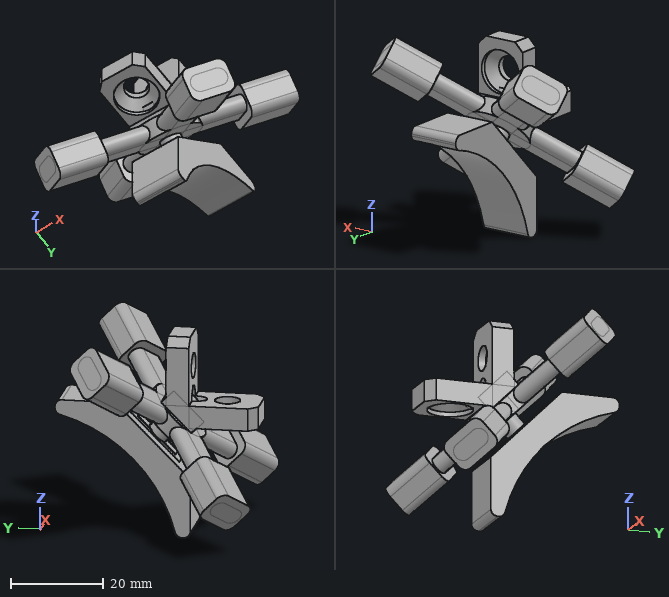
import cadquery as cq
import math

TILT_ANGLE = 45
ROOT_2 = math.sqrt(2)

OVERALL_WIDTH = 50.2
HUB_DIAMETER = 15.05
ARM_COUNT = 4
ARM_WIDTH = 9.0
ARM_THICKNESS = 4
GRIP_LENGTH = 12.0
GRIP_WIDTH = 11.0
GRIP_THICKNESS = 8.0
GRIP_EDGE_RADIUS = 2
ARM_REACH = OVERALL_WIDTH / ROOT_2 - GRIP_WIDTH / 2

BRACKET_WIDTH = 12.0
LEG_LENGTH = 15.0
LEG_THICKNESS = 5
LEG_CHAMFER = 2
LEG_HOLE_DIAMETER = 5.5
SCREW_HEAD_DIAMETER = 10.0
SCREW_HEAD_DEPTH = 1.05
FOOT_LENGTH = 9.45
FOOT_HEIGHT = 3.9
CORNER_BORE_DIAMETER = 4.2
CORNER_BORE_DEPTH = 0.2
CORNER_HEIGHT = ARM_THICKNESS / 2 + FOOT_HEIGHT
CORNER_OFFSET = CORNER_HEIGHT / ROOT_2

PAD_WIDTH = BRACKET_WIDTH
PAD_SIDE = 29.85
PAD_BEVEL = 16.5
PAD_BACK_RADIUS = 35.6
PAD_BACK_CENTRE_OFFSET = 37.8
PAD_TIP_RADIUS = 1.5
PAD_SHIFT = 0.35
PAD_APEX_Y = -CORNER_OFFSET - PAD_SHIFT
PAD_APEX_Z = CORNER_OFFSET

ROD_DIAMETER = 5
BASE_WIDTH = 5.95
BASE_LENGTH = 15.05
BASE_DEPTH = 2
RIB_WIDTH = 3
RIB_LENGTH = 11.8
RIB_HEIGHT = 0.1
PIN_SHIFT = -PAD_SHIFT / ROOT_2
PAD_FACE_HEIGHT = (PAD_APEX_Z - PAD_APEX_Y - PAD_BEVEL) / ROOT_2


def tilted(body):
    """Turn an upright body so that its Z axis lies along the clamping axis."""
    return body.rotate((0, 0, 0), (1, 0, 0), TILT_ANGLE)


def slab(width, length, bottom, height, y=0):
    """An upright rectangular block, centred on X = 0 and on the given Y."""
    return (
        cq.Workplane("XY", origin=(0, y, bottom))
        .box(width, length, height, centered=(True, True, False))
    )


def make_arm():
    """An arm along +X with round sides, and the grip around its outer end."""
    arm = cq.Workplane("YZ").slot2D(ARM_WIDTH, ARM_THICKNESS).extrude(ARM_REACH)
    grip = (
        cq.Workplane("YZ", origin=(ARM_REACH - GRIP_LENGTH, 0, 0))
        .rect(GRIP_WIDTH, GRIP_THICKNESS)
        .extrude(GRIP_LENGTH)
        .edges("|X")
        .fillet(GRIP_EDGE_RADIUS)
    )
    return arm.union(grip, clean=False)


def make_spider():
    """The hub disc with equally spaced arms, the first one halfway between X and Y."""
    spider = cq.Workplane("XY").cylinder(ARM_THICKNESS, HUB_DIAMETER / 2)
    for index in range(ARM_COUNT):
        angle = (index + 0.5) * 360 / ARM_COUNT
        spider = spider.union(make_arm().rotate((0, 0, 0), (0, 0, 1), angle), clean=False)
    return tilted(spider)


def make_screw_hole():
    """A hole through a leg, along +Y, that flares at 45 degrees to a wide mouth at its far end."""
    hole_radius = LEG_HOLE_DIAMETER / 2
    head_radius = SCREW_HEAD_DIAMETER / 2
    flare_end = LEG_THICKNESS - SCREW_HEAD_DEPTH
    flare_start = flare_end - (head_radius - hole_radius)
    return (
        cq.Workplane("XY")
        .lineTo(hole_radius, 0)
        .lineTo(hole_radius, flare_start)
        .lineTo(head_radius, flare_end)
        .lineTo(head_radius, LEG_THICKNESS)
        .lineTo(0, LEG_THICKNESS)
        .close()
        .revolve(360, (0, 0, 0), (0, 1, 0))
    )


def make_leg():
    """The upright leg, standing on the bracket corner, with a chamfered tip and a screw hole."""
    return (
        slab(BRACKET_WIDTH, LEG_THICKNESS, 0, LEG_LENGTH, LEG_THICKNESS / 2)
        .edges("|Y and >Z")
        .chamfer(LEG_CHAMFER)
        .cut(make_screw_hole().translate((0, 0, LEG_LENGTH / 2)))
    )


def make_bracket():
    """Two legs on a foot that rests on the hub, with a bore into their inner corner."""
    upright_leg = make_leg()
    flat_leg = upright_leg.mirror("XZ").rotate((0, 0, 0), (1, 0, 0), 90)
    legs = upright_leg.union(flat_leg, clean=False).translate((0, -CORNER_OFFSET, CORNER_OFFSET))
    bore = (
        cq.Workplane("XY", origin=(0, 0, CORNER_HEIGHT - CORNER_BORE_DEPTH))
        .circle(CORNER_BORE_DIAMETER / 2)
        .extrude(LEG_THICKNESS)
    )
    foot = slab(BRACKET_WIDTH, FOOT_LENGTH, ARM_THICKNESS / 2, FOOT_HEIGHT)
    return legs.union(tilted(foot), clean=False).cut(tilted(bore), clean=False)


def make_pin():
    """A base sunk flush into the pad, and a rod that stands on its rib and meets the hub."""
    base_bottom = PAD_FACE_HEIGHT - BASE_DEPTH
    rib_top = PAD_FACE_HEIGHT + RIB_HEIGHT
    rod = (
        cq.Workplane("XY", origin=(0, PIN_SHIFT, rib_top))
        .circle(ROD_DIAMETER / 2)
        .extrude(-ARM_THICKNESS / 2 - rib_top)
    )
    base = slab(BASE_WIDTH, BASE_LENGTH, base_bottom, BASE_DEPTH, PIN_SHIFT)
    rib = slab(RIB_WIDTH, RIB_LENGTH, PAD_FACE_HEIGHT, RIB_HEIGHT, PIN_SHIFT)
    return tilted(base.union(rib).union(rod))


def make_pad():
    """The bevelled pad with its hollow back, rounded tips and the recess for the pin base."""
    side_plane = cq.Workplane("YZ", origin=(-PAD_WIDTH / 2, PAD_APEX_Y, PAD_APEX_Z))
    block = (
        side_plane
        .moveTo(PAD_BEVEL, 0)
        .lineTo(PAD_SIDE, 0)
        .lineTo(PAD_SIDE, -PAD_SIDE)
        .lineTo(0, -PAD_SIDE)
        .lineTo(0, -PAD_BEVEL)
        .close()
        .extrude(PAD_WIDTH)
    )
    back = (
        side_plane
        .center(PAD_BACK_CENTRE_OFFSET, -PAD_BACK_CENTRE_OFFSET)
        .circle(PAD_BACK_RADIUS)
        .extrude(PAD_WIDTH)
    )
    recess = slab(BASE_WIDTH, BASE_LENGTH, PAD_FACE_HEIGHT - BASE_DEPTH, BASE_DEPTH, PIN_SHIFT)
    return (
        block.cut(back)
        .edges("|X and (>Y or <Z)")
        .fillet(PAD_TIP_RADIUS)
        .cut(tilted(recess))
    )


pad = make_pad()
pin = make_pin()
spider = make_spider()
bracket = make_bracket()

result = cq.Compound.makeCompound([
    pad.val(),
    pin.val(),
    spider.val(),
    bracket.val(),
])